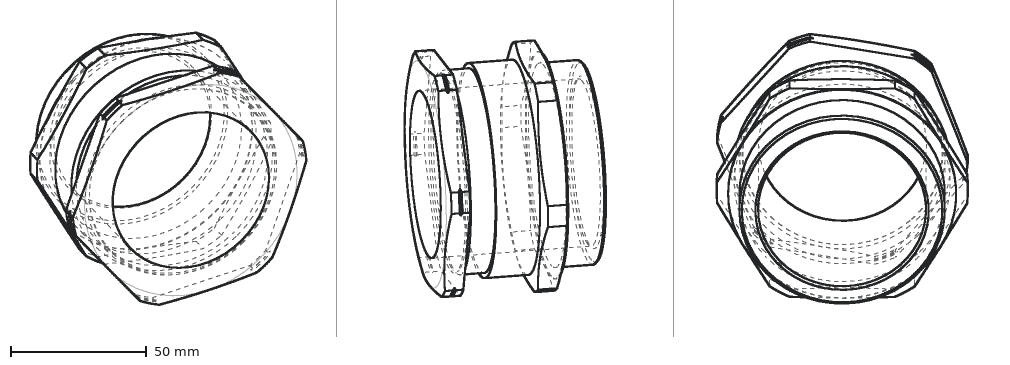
import cadquery as cq

corner_radius = 46.2
flat_distance = 41.9
total_length = 60.7

thread_radius = 37.8
thread_chamfer = 0.9
collar_radius = 39.7
collar_end = 41.6
neck_chamfer_start = 50.7
groove_x = 51.8
groove_radius = 36.6
neck_end_radius = 36.9

nut_start = 15.05
nut_end = 25.2
washer_face = 0.5
nut_front_cone = 0.8
nut_back_cone = 1.8

cap_start = 52.55
cap_turn = 10.0
cap_cone = 1.2
cap_corner_radius = 46.3
notch_x = 56.0
notch_half_width = 0.6
notch_depth = 0.5

bore_radius = 30.8
bore_chamfer = 1.0


def revolve_about_x(points):
    """Solid of revolution from (x, radius) points, closed along the axis."""
    outline = [(points[0][0], 0)] + points + [(points[-1][0], 0)]
    return cq.Workplane("XY").polyline(outline).close().revolve(360, (0, 0, 0), (1, 0, 0))


def hexagon(start, end, turn):
    """Hexagonal prism along X with corners on the Y axis before turning."""
    corner_to_y = 30
    prism = cq.Workplane("YZ", origin=(start, 0, 0)).polygon(6, 2 * flat_distance, circumscribed=True)
    return prism.extrude(end - start).rotate((0, 0, 0), (1, 0, 0), corner_to_y + turn)


def make_sleeve():
    return revolve_about_x([
        (0, thread_radius - thread_chamfer),
        (thread_chamfer, thread_radius),
        (nut_start, thread_radius),
        (nut_start, collar_radius),
        (collar_end, collar_radius),
        (collar_end, thread_radius),
        (neck_chamfer_start, thread_radius),
        (groove_x, groove_radius),
        (cap_start, neck_end_radius),
    ])


def make_nut():
    envelope = revolve_about_x([
        (nut_start, flat_distance),
        (nut_start + washer_face, flat_distance),
        (nut_start + washer_face + nut_front_cone, corner_radius),
        (nut_end - nut_back_cone, corner_radius),
        (nut_end, collar_radius),
    ])
    return hexagon(nut_start, nut_end, 0).intersect(envelope)


def make_cap():
    envelope = revolve_about_x([
        (cap_start, cap_corner_radius),
        (total_length - cap_cone, cap_corner_radius),
        (total_length, flat_distance),
    ])
    notch = (
        cq.Workplane("XY")
        .polyline([
            (notch_x - notch_half_width, cap_corner_radius),
            (notch_x, cap_corner_radius - notch_depth),
            (notch_x + notch_half_width, cap_corner_radius),
        ])
        .close()
        .revolve(360, (0, 0, 0), (1, 0, 0))
    )
    return hexagon(cap_start, total_length, cap_turn).intersect(envelope).cut(notch)


def make_bore():
    return revolve_about_x([
        (0, bore_radius + bore_chamfer),
        (bore_chamfer, bore_radius),
        (total_length, bore_radius),
    ])


result = make_sleeve().union(make_nut()).union(make_cap()).cut(make_bore())